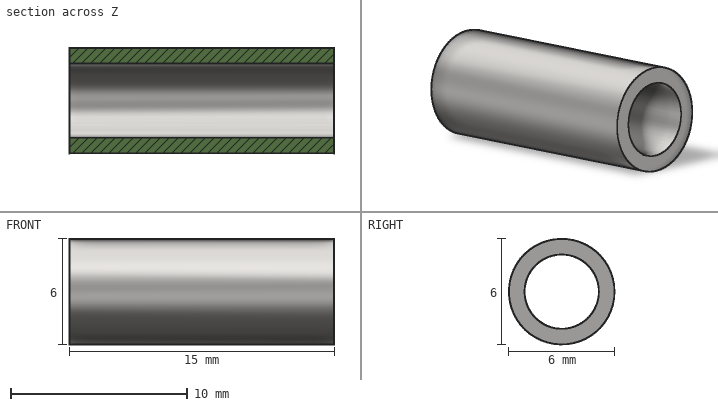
import cadquery as cq

length = 15.0
outer_diameter = 6.0
bore_diameter = 4.2

result = (
    cq.Workplane("YZ")
    .circle(outer_diameter / 2)
    .circle(bore_diameter / 2)
    .extrude(length)
)